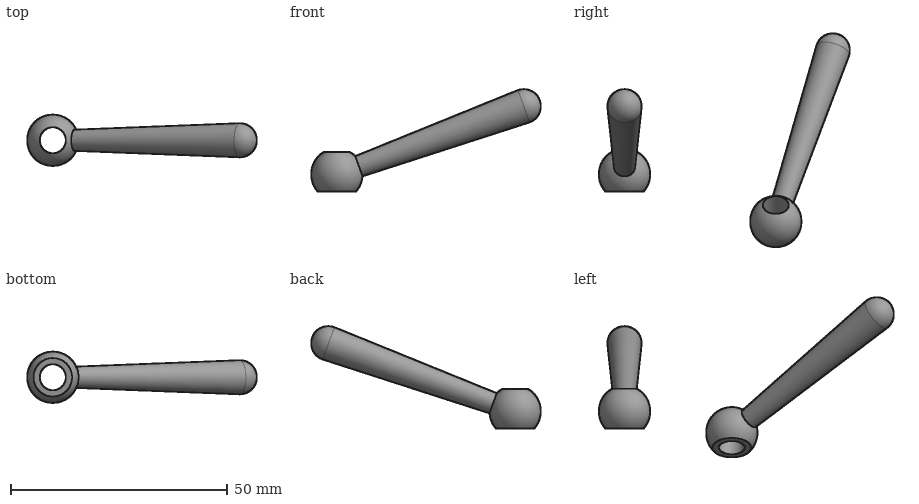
import cadquery as cq
import math

overall_length = 53.2
ball_radius = 5.985
bore_radius = 3.0
base_depth = 4.0
tip_radius = 4.0
neck_radius = 2.5
handle_angle = 20.0

top_height = math.sqrt(ball_radius**2 - bore_radius**2)
tip_x = overall_length - ball_radius - tip_radius
tip_distance = tip_x / math.cos(math.radians(handle_angle))
neck_distance = math.sqrt(ball_radius**2 - neck_radius**2)
taper = (tip_radius - neck_radius) / (tip_distance - neck_distance)


def make_ball():
    """Ball with a flat base and a flat top the width of the bore."""
    slab = (
        cq.Workplane("XY", origin=(0, 0, -base_depth))
        .circle(ball_radius)
        .extrude(base_depth + top_height)
    )
    return cq.Workplane("XY").sphere(ball_radius).intersect(slab)


def make_handle():
    """Tapered handle with a round tip, rooted inside the ball and tilted up."""
    root_distance = bore_radius
    root_radius = neck_radius - taper * (neck_distance - root_distance)
    return (
        cq.Workplane("XZ")
        .moveTo(root_distance, 0)
        .lineTo(root_distance, root_radius)
        .lineTo(tip_distance, tip_radius)
        .radiusArc((tip_distance + tip_radius, 0), tip_radius)
        .close()
        .revolve(360, (0, 0, 0), (1, 0, 0))
        .rotate((0, 0, 0), (0, 1, 0), -handle_angle)
    )


bore = cq.Workplane("XY").circle(bore_radius).extrude(ball_radius, both=True)

result = make_ball().union(make_handle()).cut(bore)